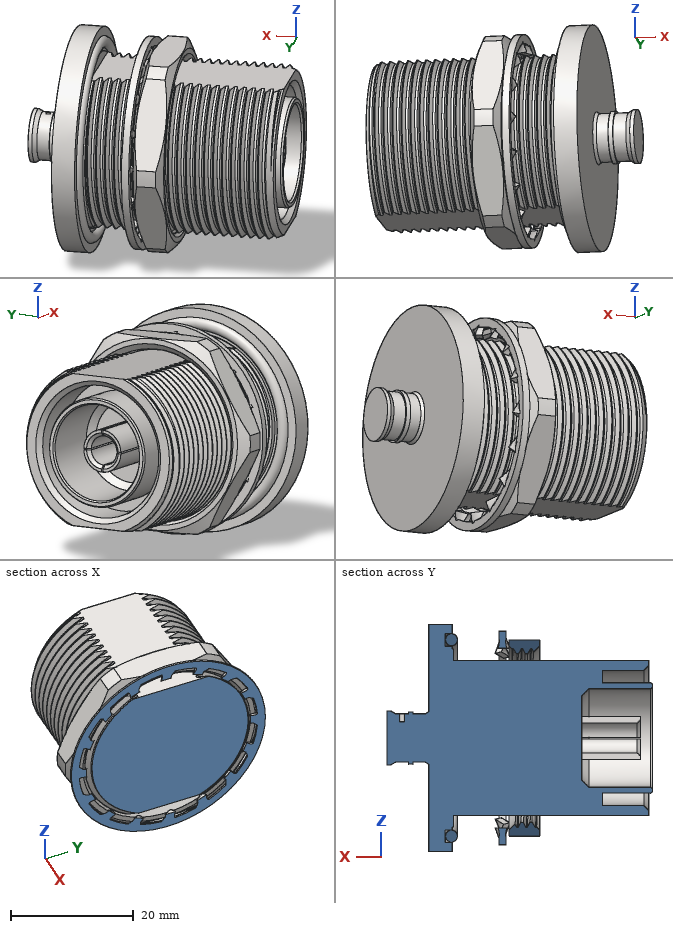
import cadquery as cq
import math


OVERALL_LENGTH = 43.2
SHELL_FRONT_X = 0.6
FLANGE_FRONT_X = 32.57
FLANGE_BACK_X = 36.4
FLANGE_RADIUS = 18.5
COLLAR_FRONT_X = 32.35
FLAT_HEIGHT = 12.6
THREAD_END_X = 31.7

CREST_RADIUS = 14.5
ROOT_RADIUS = 13.7
FIRST_CREST_X = 2.95
LAST_CREST_X = 31.3
TURNS_BETWEEN = 19
PITCH = (LAST_CREST_X - FIRST_CREST_X) / TURNS_BETWEEN
CREST_WIDTH = 0.17
RIDGE_BASE_WIDTH = 1.1
SPARE_TURNS = 3
LEAD_IN_RADIUS = 13.5
LEAD_IN_LENGTH = 1.55

FLOOR_X = 11.5
GAP_FLOOR_X = 8.1
MOUTH_RADIUS = 10.97
MOUTH_CHAMFER = 0.8
SLEEVE_RADIUS = 9.05
SLEEVE_BORE_RADIUS = 8.0
SLEEVE_TIP_CHAMFER_DEPTH = 0.2
SLEEVE_TIP_CHAMFER_LENGTH = 0.35
FLOOR_RADIUS = 6.85
CONTACT_FRONT_X = 1.95
CONTACT_RADIUS = 3.5
CONTACT_BORE_RADIUS = 2.4
CONTACT_CHAMFER = 0.55
SLOT_WIDTH = 0.25

FERRULE_RADIUS = 3.97
FERRULE_BASE_RADIUS = 4.3
FERRULE_BASE_LENGTH = 0.5
RIB_START_X = 38.92
RIB_END_X = 39.7
RIB_RADIUS = 4.28
FLARE_START_X = 41.8
FLARE_END_X = 42.55
FLARE_RADIUS = 4.4
PORT_X = 40.75
PORT_RADIUS = 0.4
PORT_DEPTH = 1.3

RING_SECTION_RADIUS = 1.0
RING_RADIUS = 16.0
RING_FRONT_X = 31.7
RING_CENTRE_X = RING_FRONT_X + RING_SECTION_RADIUS

NUT_FRONT_X = 18.3
NUT_BACK_X = 23.35
NUT_ACROSS_FLATS = 31.95
NUT_CORNER_RADIUS = 17.7
NUT_FACE_RADIUS = 15.85
NUT_CHAMFER_LENGTH = 0.95
NUT_BORE_CHAMFER_RADIUS = 15.0
NUT_CORE_INSET = 0.2

WASHER_FRONT_X = 23.8
WASHER_THICKNESS = 1.2
WASHER_RADIUS = 17.4
WASHER_RIM_INNER_RADIUS = 15.95
TOOTH_COUNT = 16
TOOTH_WIDTH = 2.55
TOOTH_TIP_RADIUS = 14.6
TOOTH_TWIST = 33.0
TOOTH_ROOT_THICKNESS = 1.12
TOOTH_ROOT_SINK = 0.45


def revolve_about_x(points):
    """Turn a closed outline of (x, radius) points about the X axis."""
    return cq.Workplane("XZ").polyline(points).close().revolve(360, (0, 0, 0), (1, 0, 0))


def cylinder(start_x, end_x, radius):
    return cq.Workplane("YZ", origin=(start_x, 0, 0)).circle(radius).extrude(end_x - start_x)


def helix_edge(radius, start_z):
    """One turn of the thread helix, wound about Z."""
    return cq.Wire.makeHelix(PITCH, PITCH, radius, center=cq.Vector(0, 0, start_z)).Edges()[0]


def thread_end_faces(profile, start_z):
    """Helical ramp from the root to the axis, closed by a flat step one pitch high."""
    axis_start = cq.Vector(0, 0, start_z)
    axis_end = cq.Vector(0, 0, start_z + PITCH)
    ramp = cq.Face.makeRuledSurface(helix_edge(ROOT_RADIUS, start_z), cq.Edge.makeLine(axis_start, axis_end))
    first_offset = profile[0][1]
    outline = [axis_start]
    for radius, offset in profile:
        outline.append(cq.Vector(radius, 0, start_z + offset - first_offset))
    outline.append(axis_end)
    step = cq.Face.makeFromWires(cq.Wire.makePolygon(outline, close=True))
    return [ramp, step]


def make_threaded_rod():
    """Solid right-hand screw, longer than the shell, used to form both mating threads."""
    half_base = RIDGE_BASE_WIDTH / 2
    half_crest = CREST_WIDTH / 2
    profile = [
        (ROOT_RADIUS, -half_base),
        (CREST_RADIUS, -half_crest),
        (CREST_RADIUS, half_crest),
        (ROOT_RADIUS, half_base),
        (ROOT_RADIUS, PITCH - half_base),
    ]
    turns = TURNS_BETWEEN + 2 * SPARE_TURNS
    faces = []
    for turn in range(turns):
        helices = [helix_edge(radius, offset + turn * PITCH) for radius, offset in profile]
        for lower, upper in zip(helices, helices[1:]):
            faces.append(cq.Face.makeRuledSurface(lower, upper))
    faces += thread_end_faces(profile, -half_base)
    faces += thread_end_faces(profile, turns * PITCH - half_base)
    rod = cq.Workplane(cq.Solid.makeSolid(cq.Shell.makeShell(faces)).fix())
    return rod.rotate((0, 0, 0), (1, 1, 1), 120).translate((FIRST_CREST_X - SPARE_TURNS * PITCH, 0, 0))


def make_threaded_shell(rod):
    """Threaded barrel with a tapered start, a plain end at the collar and two opposite flats."""
    envelope_radius = CREST_RADIUS + 0.45
    lead_in_slope = (CREST_RADIUS - LEAD_IN_RADIUS) / LEAD_IN_LENGTH
    lead_in_end_x = SHELL_FRONT_X + (envelope_radius - LEAD_IN_RADIUS) / lead_in_slope
    envelope = revolve_about_x([
        (SHELL_FRONT_X, 0),
        (SHELL_FRONT_X, LEAD_IN_RADIUS),
        (lead_in_end_x, envelope_radius),
        (THREAD_END_X, envelope_radius),
        (THREAD_END_X, 0),
    ])
    length = COLLAR_FRONT_X - SHELL_FRONT_X
    flats = cq.Workplane("XY").box(length, 2 * envelope_radius, 2 * FLAT_HEIGHT)
    flats = flats.translate((SHELL_FRONT_X + length / 2, 0, 0))
    plain_end = cylinder(THREAD_END_X, COLLAR_FRONT_X, CREST_RADIUS).intersect(flats)
    return rod.intersect(envelope.intersect(flats), clean=False).union(plain_end, clean=False)


def make_flange():
    """Collar, flange and cable ferrule as one turned shape with the ring groove cut in."""
    flange = revolve_about_x([
        (COLLAR_FRONT_X, 0),
        (COLLAR_FRONT_X, CREST_RADIUS),
        (FLANGE_FRONT_X, CREST_RADIUS),
        (FLANGE_FRONT_X, FLANGE_RADIUS),
        (FLANGE_BACK_X, FLANGE_RADIUS),
        (FLANGE_BACK_X, FERRULE_BASE_RADIUS),
        (FLANGE_BACK_X + FERRULE_BASE_LENGTH, FERRULE_RADIUS),
        (RIB_START_X, FERRULE_RADIUS),
        (RIB_START_X, RIB_RADIUS),
        (RIB_END_X, RIB_RADIUS),
        (RIB_END_X, FERRULE_RADIUS),
        (FLARE_START_X, FERRULE_RADIUS),
        (FLARE_END_X, FLARE_RADIUS),
        (OVERALL_LENGTH, FLARE_RADIUS),
        (OVERALL_LENGTH, 0),
    ])
    groove_bottom_x = RING_CENTRE_X + RING_SECTION_RADIUS
    groove = cylinder(FLANGE_FRONT_X, groove_bottom_x, RING_RADIUS + RING_SECTION_RADIUS)
    groove = groove.cut(cylinder(FLANGE_FRONT_X, groove_bottom_x, RING_RADIUS - RING_SECTION_RADIUS))
    port_bottom = FERRULE_RADIUS - PORT_DEPTH
    port = cq.Workplane("XY", origin=(PORT_X, 0, port_bottom)).circle(PORT_RADIUS).extrude(FERRULE_RADIUS)
    return flange.cut(groove).cut(port)


def make_cavity():
    """Open front of the shell, with a widened mouth and a deeper middle that takes the sleeve."""
    return revolve_about_x([
        (SHELL_FRONT_X, 0),
        (SHELL_FRONT_X, MOUTH_RADIUS + MOUTH_CHAMFER),
        (SHELL_FRONT_X + MOUTH_CHAMFER, MOUTH_RADIUS),
        (GAP_FLOOR_X, MOUTH_RADIUS),
        (GAP_FLOOR_X, SLEEVE_RADIUS),
        (FLOOR_X, SLEEVE_RADIUS),
        (FLOOR_X, 0),
    ])


def make_sleeve():
    """Thin sleeve standing on the cavity floor, its bore tapering where it meets the floor."""
    return revolve_about_x([
        (FLOOR_X, FLOOR_RADIUS),
        (FLOOR_X - (SLEEVE_BORE_RADIUS - FLOOR_RADIUS), SLEEVE_BORE_RADIUS),
        (SLEEVE_TIP_CHAMFER_LENGTH, SLEEVE_BORE_RADIUS),
        (0, SLEEVE_BORE_RADIUS + SLEEVE_TIP_CHAMFER_DEPTH),
        (0, SLEEVE_RADIUS - SLEEVE_TIP_CHAMFER_DEPTH),
        (SLEEVE_TIP_CHAMFER_LENGTH, SLEEVE_RADIUS),
        (FLOOR_X, SLEEVE_RADIUS),
    ])


def make_contact():
    """Tubular centre contact split lengthwise by two crossed slots."""
    contact = revolve_about_x([
        (CONTACT_FRONT_X, CONTACT_BORE_RADIUS + CONTACT_CHAMFER),
        (CONTACT_FRONT_X, CONTACT_RADIUS),
        (FLOOR_X, CONTACT_RADIUS),
        (FLOOR_X, CONTACT_BORE_RADIUS),
        (CONTACT_FRONT_X + CONTACT_CHAMFER, CONTACT_BORE_RADIUS),
    ])
    length = FLOOR_X - CONTACT_FRONT_X
    for angle in (0, 90):
        slot = cq.Workplane("XY").box(length, SLOT_WIDTH, 3 * CONTACT_RADIUS)
        slot = slot.translate((CONTACT_FRONT_X + length / 2, 0, 0))
        contact = contact.cut(slot.rotate((0, 0, 0), (1, 0, 0), angle))
    return contact


def make_connector(rod):
    connector = make_threaded_shell(rod).union(make_flange(), clean=False)
    connector = connector.cut(make_cavity(), clean=False)
    return connector.union(make_sleeve(), clean=False).union(make_contact(), clean=False)


def make_sealing_ring():
    section = cq.Workplane("XZ").center(RING_CENTRE_X, RING_RADIUS).circle(RING_SECTION_RADIUS)
    return section.revolve(360, (0, -RING_RADIUS, 0), (1, -RING_RADIUS, 0))


def make_nut(rod):
    """Hexagon nut with turned corners and an internal thread matching the shell."""
    across_corners = NUT_ACROSS_FLATS / math.cos(math.pi / 6)
    hexagon = cq.Workplane("YZ", origin=(NUT_FRONT_X, 0, 0)).polygon(6, across_corners)
    nut = hexagon.extrude(NUT_BACK_X - NUT_FRONT_X)
    core_radius = ROOT_RADIUS - NUT_CORE_INSET
    bore_chamfer = NUT_BORE_CHAMFER_RADIUS - core_radius
    turned = revolve_about_x([
        (NUT_FRONT_X + bore_chamfer, 0),
        (NUT_FRONT_X + bore_chamfer, core_radius),
        (NUT_FRONT_X, NUT_BORE_CHAMFER_RADIUS),
        (NUT_FRONT_X, NUT_FACE_RADIUS),
        (NUT_FRONT_X + NUT_CHAMFER_LENGTH, NUT_CORNER_RADIUS),
        (NUT_BACK_X - NUT_CHAMFER_LENGTH, NUT_CORNER_RADIUS),
        (NUT_BACK_X, NUT_FACE_RADIUS),
        (NUT_BACK_X, NUT_BORE_CHAMFER_RADIUS),
        (NUT_BACK_X - bore_chamfer, core_radius),
        (NUT_BACK_X - bore_chamfer, 0),
    ])
    return nut.intersect(turned).cut(rod, clean=False)


def make_tooth():
    """Tooth on the +Z side, flat at the washer rim and twisted about its radius at the tip."""
    root_height = WASHER_RIM_INNER_RADIUS + TOOTH_ROOT_SINK
    middle_x = WASHER_FRONT_X + WASHER_THICKNESS / 2
    tooth = (
        cq.Workplane("XY", origin=(middle_x, 0, TOOTH_TIP_RADIUS))
        .transformed(rotate=(0, 0, -TOOTH_TWIST))
        .rect(WASHER_THICKNESS, TOOTH_WIDTH)
        .transformed(rotate=(0, 0, TOOTH_TWIST), offset=(0, 0, root_height - TOOTH_TIP_RADIUS))
        .rect(TOOTH_ROOT_THICKNESS, TOOTH_WIDTH)
        .loft(ruled=True)
    )
    return tooth


def make_washer():
    """Toothed ring whose front tooth corners bear flat on the nut."""
    back_x = WASHER_FRONT_X + WASHER_THICKNESS
    washer = cylinder(WASHER_FRONT_X, back_x, WASHER_RADIUS)
    washer = washer.cut(cylinder(WASHER_FRONT_X, back_x, WASHER_RIM_INNER_RADIUS))
    tooth = make_tooth()
    for index in range(TOOTH_COUNT):
        washer = washer.union(tooth.rotate((0, 0, 0), (1, 0, 0), index * 360 / TOOTH_COUNT))
    return washer.cut(cylinder(NUT_FRONT_X, NUT_BACK_X, WASHER_RADIUS))


threaded_rod = make_threaded_rod()
connector = make_connector(threaded_rod)
sealing_ring = make_sealing_ring()
nut = make_nut(threaded_rod)
washer = make_washer()

result = cq.Compound.makeCompound([connector.val(), sealing_ring.val(), nut.val(), washer.val()])